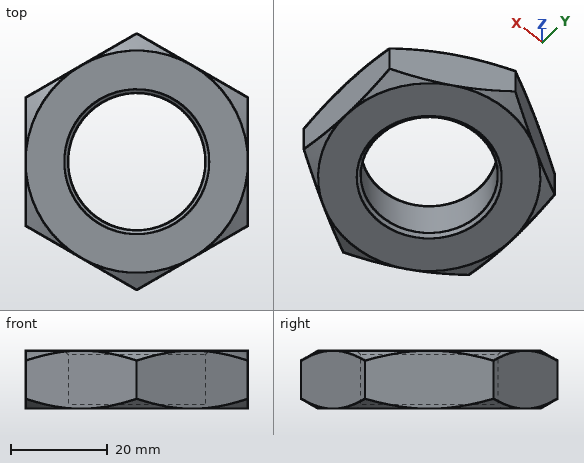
import cadquery as cq
import math

across_corners = 53.1
across_flats = across_corners * math.cos(math.radians(30))
height = 12.0
bore_diameter = 28.35
bore_mouth_diameter = 30.0
corner_chamfer_angle = 30.0

corner_radius = across_corners / 2
flat_radius = across_flats / 2
corner_drop = (corner_radius - flat_radius) * math.tan(math.radians(corner_chamfer_angle))
bore_chamfer = (bore_mouth_diameter - bore_diameter) / 2


def make_hexagon():
    """Hexagonal prism centred on the origin."""
    return (
        cq.Workplane("XY")
        .polygon(6, across_corners)
        .extrude(height / 2, both=True)
        .rotate((0, 0, 0), (0, 0, 1), 30)
    )


def make_corner_envelope():
    """Turned body whose conical ends start at the flats and trim the corners."""
    half_height = height / 2
    shoulder = half_height - corner_drop
    return (
        cq.Workplane("XZ")
        .moveTo(0, -half_height)
        .lineTo(flat_radius, -half_height)
        .lineTo(corner_radius, -shoulder)
        .lineTo(corner_radius, shoulder)
        .lineTo(flat_radius, half_height)
        .lineTo(0, half_height)
        .close()
        .revolve(360, (0, 0, 0), (0, 1, 0))
    )


def make_bore():
    """Through bore with a 45 degree chamfer at each mouth."""
    half_height = height / 2
    bore_radius = bore_diameter / 2
    mouth_radius = bore_mouth_diameter / 2
    return (
        cq.Workplane("XZ")
        .moveTo(0, -half_height)
        .lineTo(mouth_radius, -half_height)
        .lineTo(bore_radius, -half_height + bore_chamfer)
        .lineTo(bore_radius, half_height - bore_chamfer)
        .lineTo(mouth_radius, half_height)
        .lineTo(0, half_height)
        .close()
        .revolve(360, (0, 0, 0), (0, 1, 0))
    )


result = make_hexagon().intersect(make_corner_envelope()).cut(make_bore())